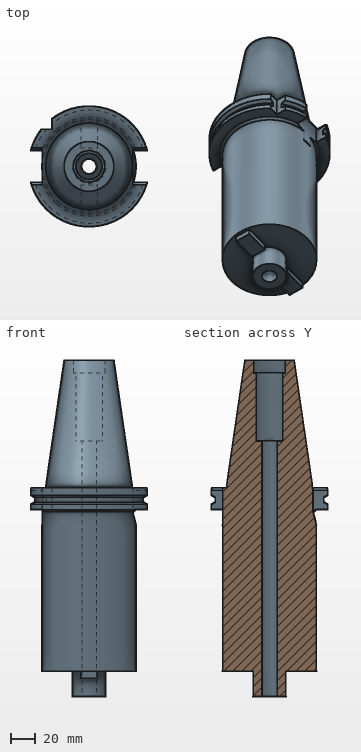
import cadquery as cq
import math

total_length = 271.8
pilot_length = 20.5
gauge_to_flange_bottom = 19.0
gauge_to_flange_top = 1.4
neck_height = 2.0

body_radius = 38.0
pilot_diameter = 27.0
gauge_diameter = 69.8
taper_length = 101.5
taper_ratio = 7 / 24
flange_diameter = 97.5

groove_depth = 3.0
groove_floor_width = 3.8
groove_half_angle = 30.0
groove_center_above_flange_bottom = 8.0

slot_width = 25.5
slot_chamfer = 2.2
left_slot_floor = 37.8
right_slot_floor = 35.3
slot_run_below_neck = 10.5

notch_x = 30.0
notch_y = 30.2

counterbore_diameter = 25.3
counterbore_depth = 10.3
bore_diameter = 21.2
bore_depth = 65.2
through_hole_diameter = 12.0

key_width = 13.0
key_inner = 15.0
key_outer = 36.0
key_height = 5.7

gauge_z = total_length - taper_length
flange_bottom = gauge_z - gauge_to_flange_bottom
flange_top = gauge_z - gauge_to_flange_top
body_top = flange_bottom - neck_height
slot_bottom = body_top - slot_run_below_neck
pilot_radius = pilot_diameter / 2
gauge_radius = gauge_diameter / 2
flange_radius = flange_diameter / 2


def turned_body():
    """Revolve the pilot, body, grooved flange and taper about Z."""
    groove_z = flange_bottom + groove_center_above_flange_bottom
    groove_floor_half = groove_floor_width / 2
    groove_mouth_half = groove_floor_half + groove_depth * math.tan(math.radians(groove_half_angle))
    groove_radius = flange_radius - groove_depth
    taper_end_radius = gauge_radius - taper_length * taper_ratio / 2
    profile = [
        (0, 0),
        (pilot_radius, 0),
        (pilot_radius, pilot_length),
        (body_radius, pilot_length),
        (body_radius, body_top),
        (body_radius + neck_height, flange_bottom),
        (flange_radius, flange_bottom),
        (flange_radius, groove_z - groove_mouth_half),
        (groove_radius, groove_z - groove_floor_half),
        (groove_radius, groove_z + groove_floor_half),
        (flange_radius, groove_z + groove_mouth_half),
        (flange_radius, flange_top),
        (gauge_radius, flange_top),
        (gauge_radius, gauge_z),
        (taper_end_radius, total_length),
        (0, total_length),
    ]
    return cq.Workplane("XZ").polyline(profile).close().revolve(360, (0, 0), (0, 1))


def slot_cutter(floor, lower_end, side):
    """Chamfered slot with its floor reaching lower_end at the bottom; side is -1 or +1 along X."""
    half = slot_width / 2
    section = [
        (-half, slot_bottom),
        (half, slot_bottom),
        (half, flange_top - slot_chamfer),
        (half + slot_chamfer, flange_top),
        (-half - slot_chamfer, flange_top),
        (-half, flange_top - slot_chamfer),
    ]
    floor_outline = [
        (side * floor, flange_top),
        (side * floor, body_top),
        (side * lower_end, slot_bottom),
        (side * flange_diameter, slot_bottom),
        (side * flange_diameter, flange_top),
    ]
    channel = cq.Workplane("YZ").polyline(section).close().extrude(side * flange_diameter)
    run_out = cq.Workplane("XZ").polyline(floor_outline).close().extrude(slot_width, both=True)
    return channel.intersect(run_out)


def notch_cutter():
    """Corner block removing the -X, +Y part of the flange."""
    return (
        cq.Workplane("XY", origin=(-notch_x, notch_y, flange_bottom))
        .rect(-flange_radius, flange_radius, centered=False)
        .extrude(flange_top - flange_bottom)
    )


def bore_cutter(diameter, depth):
    """Cylinder on the axis reaching down from the small end of the taper."""
    return cq.Workplane("XY", origin=(0, 0, total_length)).circle(diameter / 2).extrude(-depth)


def driving_keys():
    """Pair of keys on the Y axis, standing on the lower body face."""
    return (
        cq.Workplane("XY", origin=(0, 0, pilot_length))
        .pushPoints([(0, side * (key_inner + key_outer) / 2) for side in (-1, 1)])
        .rect(key_width, key_outer - key_inner)
        .extrude(-key_height)
    )


result = turned_body().union(driving_keys())
result = result.cut(slot_cutter(left_slot_floor, left_slot_floor, -1))
result = result.cut(slot_cutter(right_slot_floor, body_radius, 1))
result = result.cut(notch_cutter())
for diameter, depth in (
    (counterbore_diameter, counterbore_depth),
    (bore_diameter, bore_depth),
    (through_hole_diameter, total_length),
):
    result = result.cut(bore_cutter(diameter, depth))